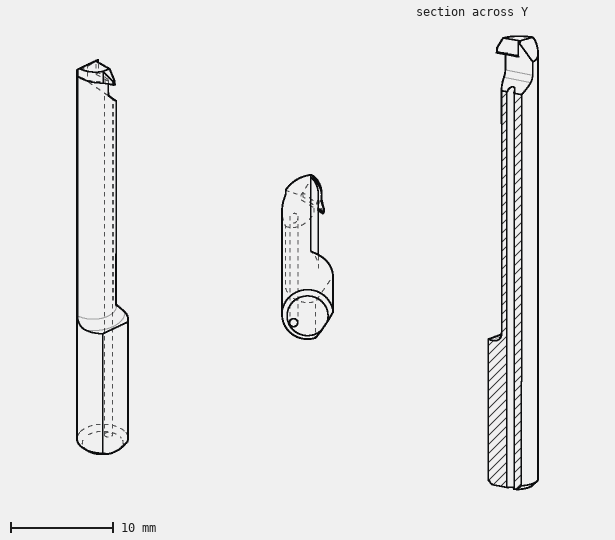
import cadquery as cq
import math

length = 45.0
shank_radius = 2.5
flat_x = 1.95
end_chamfer = 0.5

shoulder_z = 14.67
shoulder_fillet = 0.8
neck_radius = 2.28
neck_centre_x = -1.48

wall_y = 0.1
ramp_corner_z = 41.5
ramp_angle = 47.0
ramp_fillet = 1.0

top_corner_x = 1.2
tip_x = 1.87
tip_top_z = 43.9
tip_bottom_z = 43.45
relief_angle = 10.0
top_relief_angle = 2.0
head_radius = 2.3
head_centre_x = -1.05
head_centre_y = 0.07
heel_x = 1.08
tip_land_y = -0.15

bevel_size = 1.75

rake_left_y = -0.25
rake_start_x = bevel_size - shank_radius
rake_floor_z = tip_bottom_z

hole_diameter = 0.8
hole_x = -0.75
hole_y = 1.33

facing_up = 90.0
facing_down = -90.0

margin = 10.0


def tan_deg(angle):
    return math.tan(math.radians(angle))


def make_blank(height):
    """Round bar with the bottom edge chamfered and the +X flat milled."""
    bar = cq.Workplane("XY").circle(shank_radius).extrude(height)
    bar = bar.faces("<Z").chamfer(end_chamfer)
    waste = cq.Workplane("XY").box(margin, margin, height, centered=(False, True, False))
    return bar.cut(waste.translate((flat_x, 0, 0)))


def make_neck_envelope():
    """Solid of revolution about the neck axis that flares out at the shoulder."""
    profile = (
        cq.Workplane("XZ")
        .lineTo(margin, 0)
        .lineTo(margin, shoulder_z)
        .lineTo(neck_radius + shoulder_fillet, shoulder_z)
        .radiusArc((neck_radius, shoulder_z + shoulder_fillet), shoulder_fillet)
        .lineTo(neck_radius, length)
        .lineTo(0, length)
        .close()
    )
    return profile.revolve(360, (0, 0), (0, 1)).translate((neck_centre_x, 0, 0))


def half_space(x, z, direction, relief):
    """Block of waste beyond a ground face through the edge point (x, 0, z).

    The face looks along the angle `direction` in the XZ plane, measured from +X,
    and backs off towards -Y by the angle `relief`.
    """
    facing = math.radians(direction)
    tilt = math.radians(relief)
    normal = (
        math.cos(facing) * math.cos(tilt),
        -math.sin(tilt),
        math.sin(facing) * math.cos(tilt),
    )
    face = cq.Plane(origin=(x, 0, z), xDir=(-math.sin(facing), 0, math.cos(facing)), normal=normal)
    return cq.Workplane(face).rect(2 * margin, 2 * margin).extrude(margin)


def make_head():
    """Hooked cutting head with a relieved flank and underside."""
    heel_y = head_centre_y - math.sqrt(head_radius**2 - (heel_x - head_centre_x) ** 2)
    outline = (
        cq.Workplane("XY", origin=(0, 0, length - margin))
        .moveTo(head_centre_x, wall_y)
        .lineTo(tip_x, wall_y)
        .lineTo(tip_x, tip_land_y)
        .lineTo(heel_x, heel_y)
        .radiusArc((head_centre_x, head_centre_y - head_radius), head_radius)
        .close()
        .extrude(margin)
    )
    flank_direction = math.degrees(math.atan2(tip_x - top_corner_x, length - tip_top_z))
    flank_waste = half_space(tip_x, tip_top_z, flank_direction, relief_angle)
    underside_waste = half_space(tip_x, tip_bottom_z, facing_down, relief_angle)
    return outline.cut(flank_waste).cut(underside_waste)


def make_back_relief():
    """Material removed from the +Y half: upright wall, fillet and ramp."""
    drop = margin * tan_deg(ramp_angle)
    relief = (
        cq.Workplane("YZ")
        .moveTo(wall_y, length + margin)
        .lineTo(wall_y, ramp_corner_z)
        .lineTo(wall_y + margin, ramp_corner_z - drop)
        .lineTo(wall_y + margin, length + margin)
        .close()
        .extrude(margin, both=True)
    )
    corner = cq.selectors.NearestToPointSelector((0, wall_y, ramp_corner_z))
    return relief.edges(corner).fillet(ramp_fillet)


def make_rake_recess():
    """Wedge ground off the +Y face of the head, deepest at the bevel."""
    return (
        cq.Workplane("XY", origin=(0, 0, rake_floor_z))
        .polyline([(rake_start_x, rake_left_y), (tip_x, 0), (tip_x, margin), (rake_start_x, margin)])
        .close()
        .extrude(margin)
    )


def make_bevel():
    """45 degree wedge on the -X side of the top."""
    return (
        cq.Workplane("XZ")
        .moveTo(-shank_radius, length - bevel_size)
        .lineTo(-shank_radius + bevel_size, length)
        .lineTo(-shank_radius, length)
        .close()
        .extrude(margin, both=True)
    )


def make_coolant_hole():
    return cq.Workplane("XY").center(hole_x, hole_y).circle(hole_diameter / 2).extrude(length)


body = make_blank(length).intersect(make_neck_envelope())
body = body.union(make_head())
cutters = (
    half_space(0, length, facing_up, top_relief_angle),
    make_back_relief(),
    make_rake_recess(),
    make_bevel(),
    make_coolant_hole(),
)
for cutter in cutters:
    body = body.cut(cutter)

result = body